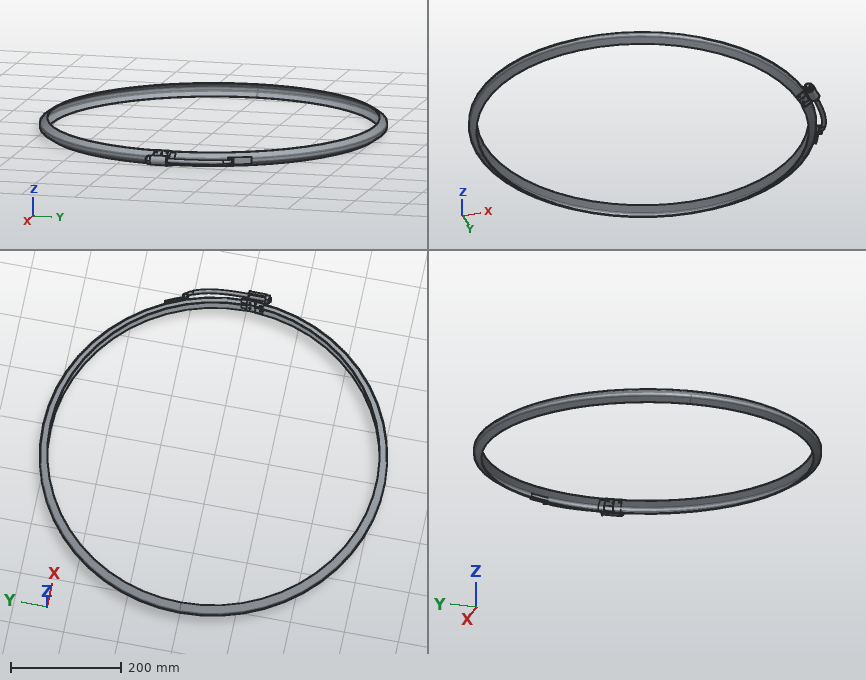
import cadquery as cq
import math

BAND_RADIUS = 316.0
BAND_TOP = 13.0
FLAT_HALF = 2.95
BEND_RADIUS = 2.3
LEG_SLOPE = 33
BAND_WALL = 1.65
GAP_ANGLE = 3
SEAM_ANGLE = 180

SADDLE_WALL = 1.2
SADDLE_START = 1.0
BARREL_LENGTH = 31.5
TONGUE_LENGTH = 10.5
TONGUE_INNER_RADIUS = 305.5
WEB_HALF_HEIGHT = 4.9
SPOT_DIAMETER = 2.5
SPOTS = [(307.0, -6.0), (309.5, -16.0), (305.5, -26.0)]

BARREL_X = 326.5
BARREL_DIAMETER = 17.5
COLLAR_CORNERS = 21.0
COLLAR_THICKNESS = 1.0
SLIT_WIDTH = 2.5

ROD_DIAMETER = 8.0
ROD_TOP = (313.0, 100.5)
ROD_TOP_LEAN = 24
NECK_DIAMETER = 6.5
TBAR_DIAMETER = 6.5
ROD_END = 2.5

NUT_CORNERS = 17.0
NUT_CHAMFER = 2.0
NUT_THICKNESS = 7.0

HINGE_ANGLE = 20.4
HINGE_RADIUS = BAND_RADIUS + 5.0
LOOP_DIAMETER = 10.5
LOOP_HALF_HEIGHT = 6.5
NECK_SLOT_HEIGHT = 8.0
PLATE_THICKNESS = 4.0
PLATE_HALF_HEIGHT = 6.5
PLATE_FLARE = 2.0
PLATE_END_ANGLE = 27.3

BEND_ANGLE = math.radians(90 - LEG_SLOPE)
BEND_CENTRE = (BAND_RADIUS - BEND_RADIUS, FLAT_HALF)
LEG_START_Z = FLAT_HALF + BEND_RADIUS * math.sin(BEND_ANGLE)
LEG_LENGTH = (BAND_TOP - LEG_START_Z) / math.cos(BEND_ANGLE)


def bend_point(offset, angle):
    """Point (radius, height) on the upper bend, moved outward by offset."""
    radius = BEND_RADIUS + offset
    return (
        BEND_CENTRE[0] + radius * math.cos(angle),
        BEND_CENTRE[1] + radius * math.sin(angle),
    )


def leg_end(offset):
    """Tip (radius, height) of the upper leg, moved outward by offset."""
    r, z = bend_point(offset, BEND_ANGLE)
    return (r - LEG_LENGTH * math.sin(BEND_ANGLE), z + LEG_LENGTH * math.cos(BEND_ANGLE))


def below(point):
    return (point[0], -point[1])


def skin(sketch, offset):
    """Continue a sketch from the upper leg tip along the channel to the lower leg tip."""
    tangent = bend_point(offset, BEND_ANGLE)
    middle = bend_point(offset, BEND_ANGLE / 2)
    rim = bend_point(offset, 0)
    return (
        sketch.lineTo(*tangent)
        .threePointArc(middle, rim)
        .lineTo(*below(rim))
        .threePointArc(below(middle), below(tangent))
        .lineTo(*below(leg_end(offset)))
    )


def sweep_around(sketch, start_angle, end_angle):
    """Revolve a closed XZ sketch about the Z axis, counter-clockwise from start to end."""
    body = sketch.close().revolve(end_angle - start_angle, (0, 0, 0), (0, 1, 0))
    return body.rotate((0, 0, 0), (0, 0, 1), start_angle)


def channel(start_angle, end_angle):
    """Stretch of the band, between its outer skin and the skin one wall inside it."""
    inner = -BAND_WALL
    sketch = skin(cq.Workplane("XZ").moveTo(*leg_end(0)), 0)
    tangent = bend_point(inner, BEND_ANGLE)
    middle = bend_point(inner, BEND_ANGLE / 2)
    rim = bend_point(inner, 0)
    sketch = (
        sketch.lineTo(*below(leg_end(inner)))
        .lineTo(*below(tangent))
        .threePointArc(below(middle), below(rim))
        .lineTo(*rim)
        .threePointArc(middle, tangent)
        .lineTo(*leg_end(inner))
    )
    return sweep_around(sketch, start_angle, end_angle)


def angle_along(length):
    """Angle that covers a length along Y, measured from the +X axis."""
    return math.degrees(math.asin(length / BAND_RADIUS))


def cylinder_y(diameter, x, y_start, y_end):
    return (
        cq.Workplane("XZ", origin=(x, y_start, 0))
        .circle(diameter / 2)
        .extrude(y_start - y_end)
    )


def make_band():
    first_run = channel(0, SEAM_ANGLE)
    second_run = channel(SEAM_ANGLE, 360 - GAP_ANGLE)
    return first_run.union(second_run, clean=False)


def spot_holes():
    """Cutters square to the upper and lower legs."""
    slope = math.tan(math.radians(LEG_SLOPE))
    tip_r, tip_z = leg_end(0)
    cutters = []
    for x, y in SPOTS:
        z = tip_z - (math.hypot(x, y) - tip_r) * slope
        for side in (1, -1):
            normal = cq.Vector(math.cos(BEND_ANGLE), 0, side * math.sin(BEND_ANGLE))
            hole = cq.Solid.makeCylinder(
                SPOT_DIAMETER / 2, 2 * SADDLE_WALL, cq.Vector(x, y, side * z), normal
            )
            cutters.append(hole)
    return cutters


def filled_channel(offset, start_angle, end_angle):
    """Solid ring sector inside the channel skin that lies offset outside the band."""
    sketch = skin(cq.Workplane("XZ").moveTo(*leg_end(offset)), offset)
    return sweep_around(sketch, start_angle, end_angle)


def make_saddle():
    saddle_angle = angle_along(BARREL_LENGTH)
    tongue_angle = angle_along(TONGUE_LENGTH)
    shell = filled_channel(SADDLE_WALL, -saddle_angle, angle_along(SADDLE_START))
    tongue_cut = cq.Workplane("XY").circle(TONGUE_INNER_RADIUS).extrude(2 * BAND_TOP, both=True)
    tongue = filled_channel(SADDLE_WALL, 0, tongue_angle).cut(tongue_cut)

    web_start = BAND_RADIUS - 2 * SADDLE_WALL
    web = cq.Workplane("XY").box(
        BARREL_X - web_start, BARREL_LENGTH, 2 * WEB_HALF_HEIGHT, centered=(False, False, True)
    ).translate((web_start, -BARREL_LENGTH, 0))
    barrel = cylinder_y(BARREL_DIAMETER, BARREL_X, 0, -BARREL_LENGTH)
    collar = (
        cq.Workplane("XZ", origin=(BARREL_X, 0, 0))
        .polygon(6, COLLAR_CORNERS)
        .extrude(COLLAR_THICKNESS)
    )
    bore = cylinder_y(ROD_DIAMETER, BARREL_X, 0, -BARREL_LENGTH)
    slit = cq.Workplane("XY").box(
        SLIT_WIDTH, BARREL_LENGTH - COLLAR_THICKNESS, BARREL_DIAMETER, centered=(True, False, False)
    ).translate((BARREL_X, -BARREL_LENGTH, 0))

    band_space = filled_channel(0, -2 * saddle_angle, 2 * tongue_angle)
    saddle = shell.union(tongue).union(web).union(barrel).union(collar)
    saddle = saddle.cut(band_space).cut(bore).cut(slit)
    for hole in spot_holes():
        saddle = saddle.cut(cq.Workplane(hole))
    return saddle


def hinge_centre():
    angle = math.radians(HINGE_ANGLE)
    return (HINGE_RADIUS * math.cos(angle), HINGE_RADIUS * math.sin(angle))


def hinge_cylinder(diameter):
    """Upright cylinder on the hinge axis, as tall as the loop."""
    return (
        cq.Workplane("XY", origin=(*hinge_centre(), -LOOP_HALF_HEIGHT))
        .circle(diameter / 2)
        .extrude(2 * LOOP_HALF_HEIGHT)
    )


def swept_rod(diameter, start, start_tangent, end, end_tangent):
    """Round bar along one smooth curve in the middle plane."""
    path = cq.Workplane("XY").spline([start, end], tangents=[start_tangent, end_tangent])
    profile = cq.Plane(origin=(*start, 0), normal=(*start_tangent, 0))
    return cq.Workplane(profile).circle(diameter / 2).sweep(path)


def make_bolt():
    tip_y = -BARREL_LENGTH - NUT_THICKNESS - ROD_END
    straight = cylinder_y(ROD_DIAMETER, BARREL_X, 0, tip_y)

    lean = math.radians(ROD_TOP_LEAN)
    top_tangent = (-math.sin(lean), math.cos(lean))
    rod = swept_rod(ROD_DIAMETER, (BARREL_X, 0), (0, 1), ROD_TOP, top_tangent)

    hinge = hinge_centre()
    neck = swept_rod(NECK_DIAMETER, ROD_TOP, top_tangent, hinge, (-1, 0))
    tbar = hinge_cylinder(TBAR_DIAMETER)
    return straight.union(rod).union(neck).union(tbar)


def make_nut():
    hexagon = (
        cq.Workplane("XZ", origin=(BARREL_X, -BARREL_LENGTH, 0))
        .polygon(6, NUT_CORNERS)
        .extrude(NUT_THICKNESS)
    )
    nut_end_y = -BARREL_LENGTH - NUT_THICKNESS
    rounded = cylinder_y(NUT_CORNERS, BARREL_X, -BARREL_LENGTH, nut_end_y)
    rounded = rounded.faces("<Y").chamfer(NUT_CHAMFER)
    bore = cylinder_y(ROD_DIAMETER, BARREL_X, -BARREL_LENGTH, nut_end_y)
    return hexagon.intersect(rounded).cut(bore)


def make_hinge_bracket():
    outer_radius = BAND_RADIUS + PLATE_THICKNESS
    edge_radius = BAND_RADIUS + PLATE_FLARE
    plate_sketch = cq.Workplane("XZ").polyline([
        (BAND_RADIUS, -FLAT_HALF),
        (edge_radius, -PLATE_HALF_HEIGHT),
        (outer_radius, -PLATE_HALF_HEIGHT),
        (outer_radius, PLATE_HALF_HEIGHT),
        (edge_radius, PLATE_HALF_HEIGHT),
        (BAND_RADIUS, FLAT_HALF),
    ])
    plate = sweep_around(plate_sketch, HINGE_ANGLE, PLATE_END_ANGLE)
    loop = hinge_cylinder(LOOP_DIAMETER)
    bar_hole = hinge_cylinder(TBAR_DIAMETER)
    slot = (
        cq.Workplane("XY")
        .box(LOOP_DIAMETER, 2 * LOOP_DIAMETER, NECK_SLOT_HEIGHT, centered=(False, True, True))
        .translate((*hinge_centre(), 0))
    )
    return plate.union(loop).cut(bar_hole).cut(slot)


band = make_band()
saddle = make_saddle()
bolt = make_bolt()
nut = make_nut()
hinge_bracket = make_hinge_bracket()

result = cq.Compound.makeCompound(
    [band.val(), saddle.val(), bolt.val(), nut.val(), hinge_bracket.val()]
)